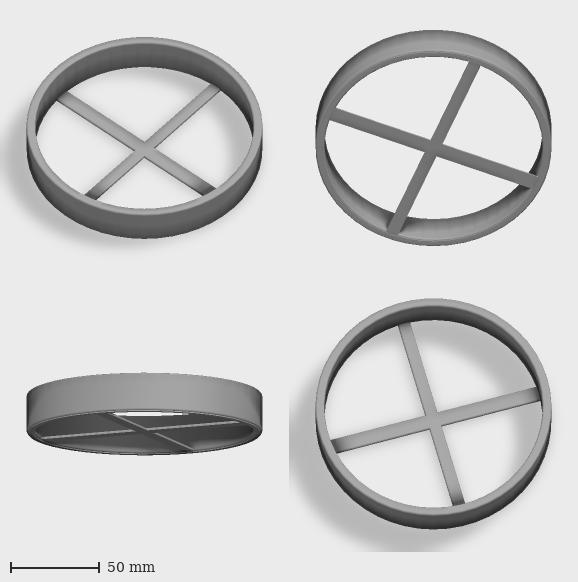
import cadquery as cq

outer_diameter = 133.0
inner_diameter = 123.0
height = 22.0
rim_round = 1.0
foot_height = 0.5

x_bar_width = 8.6
y_bar_width = 7.0
bar_top = 2.0
bar_round = 0.86

bar_length = (outer_diameter + inner_diameter) / 2


def make_tube(outer, inner, bottom, top):
    """Plain tube between two levels."""
    profile = cq.Workplane("XY").workplane(offset=bottom).circle(outer / 2).circle(inner / 2)
    return profile.extrude(top - bottom)


def make_ring():
    """Ring body with all four rims rounded, plus the foot on its remaining flat underside."""
    body = make_tube(outer_diameter, inner_diameter, foot_height, height)
    body = body.faces("<Z or >Z").fillet(rim_round)
    foot_outer = outer_diameter - 2 * rim_round
    foot_inner = inner_diameter + 2 * rim_round
    foot = make_tube(foot_outer, foot_inner, 0, foot_height)
    return body.union(foot)


def make_bar(width):
    """Bar along X, rounded along its two upper long edges."""
    outline = cq.Workplane("XY").workplane(offset=foot_height).rect(bar_length, width)
    bar = outline.extrude(bar_top - foot_height)
    return bar.faces(">Z").edges("|X").fillet(bar_round)


x_bar = make_bar(x_bar_width)
y_bar = make_bar(y_bar_width).rotate((0, 0, 0), (0, 0, 1), 90)

result = make_ring().union(x_bar).union(y_bar)